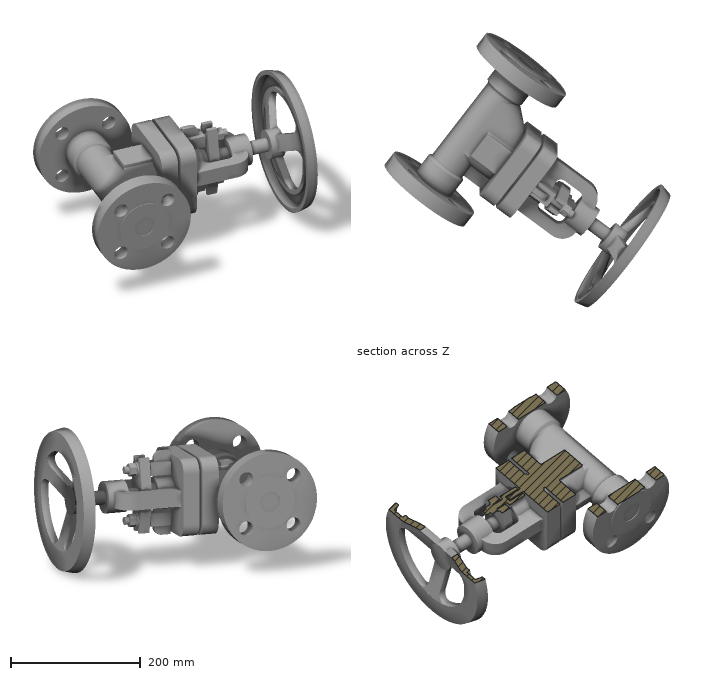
import math

import cadquery as cq


FACE_TO_FACE = 260.0
RAISED_FACE_HEIGHT = 1.0
RAISED_FACE_DIAMETER = 82.0
BORE_DIAMETER = 33.0
BORE_RECESS_DEPTH = 1.0
FLANGE_DIAMETER = 155.0
FLANGE_THICKNESS = 23.5
BOLT_CIRCLE_DIAMETER = 110.0
BOLT_HOLE_DIAMETER = 22.5
BOLT_HOLE_COUNT = 4
HUB_RADIUS = 33.0
HUB_INNER_END = 75.0
PIPE_RADIUS = 29.0
PIPE_CONE_LENGTH = HUB_RADIUS - PIPE_RADIUS

STEM_X = -10.0
NECK_RADIUS = 39.0
NECK_SHELF_Y = 14.6
WEB_HALF_THICKNESS = PIPE_RADIUS
BRANCH_START_X = 62.0
BRANCH_LEAN_DEGREES = 42.0
RIB_REACH = 57.6
RIB_THICKNESS = 12.0
PAD_HALF_WIDTH = 21.8
PAD_TOP_Z = 38.7
PAD_CHAMFER = 1.2

JOINT_WIDTH = 122.5
JOINT_CORNER_RADIUS = 20.5
BODY_PLATE_Y = 62.3
BODY_PLATE_THICKNESS = 26.7
JOINT_GAP = 5.0
SPIGOT_RADIUS = 43.0
GASKET_RADIUS = 41.5
BONNET_PLATE_THICKNESS = 26.2
BODY_PLATE_TOP_Y = BODY_PLATE_Y + BODY_PLATE_THICKNESS
BONNET_PLATE_Y = BODY_PLATE_TOP_Y + JOINT_GAP
BONNET_TOP_Y = BONNET_PLATE_Y + BONNET_PLATE_THICKNESS

YOKE_HALF_WIDTH = 49.6
YOKE_THICKNESS = 25.2
YOKE_TOP_Y = 219.5
YOKE_SHOULDER_RADIUS = 27.0
YOKE_FOOT_RADIUS = 4.0
WINDOW_HALF_WIDTH = 30.9
WINDOW_BOTTOM_Y = 146.8
WINDOW_TOP_Y = 195.4
WINDOW_CORNER_RADIUS = 10.0
YOKE_BOSS_RADIUS = 25.0
YOKE_BOSS_TOP_Y = 229.0

FIN_THICKNESS = 8.0
FIN_HALF_LENGTH = 66.0
FIN_CORNER_RADIUS = 12.0
GLAND_RADIUS = 16.6
GLAND_BAR_Y = 158.0
GLAND_BAR_THICKNESS = 16.2
GLAND_BAR_HALF_LENGTH = 59.2
GLAND_BAR_HALF_WIDTH = 23.0
GLAND_BAR_END_HALF_WIDTH = 12.5
GLAND_BAR_FLAT_HALF_LENGTH = 12.0
BOLT_Z = 40.0
BOLT_SLOT_WIDTH = 13.0
STUD_DIAMETER = 12.0
STUD_END_Y = 195.0
LUG_BOTTOM_Y = 122.5
LUG_TOP_Y = 154.8
LUG_WIDTH = 24.0
LUG_DEPTH = 20.0
LUG_SLOT_WIDTH = 10.0
LUG_SLOT_TOP_Y = 148.0
WASHER_DIAMETER = 23.5
WASHER_THICKNESS = 2.4
NUT_ACROSS_FLATS = 18.0
NUT_HEIGHT = 11.0
GLAND_BAR_TOP_Y = GLAND_BAR_Y + GLAND_BAR_THICKNESS

STEM_RADIUS = 11.0
WHEEL_HUB_RADIUS = 23.0
WHEEL_HUB_Y = 262.0
WHEEL_TOP_Y = 302.0
RIM_HEIGHT = 18.0
RIM_OUTER_RADIUS = 112.5
RIM_TOP_RADIUS = 108.3
RIM_LIP_RADIUS = 105.4
RIM_FLOOR_RADIUS = 102.8
RIM_RING_RADIUS = 85.0
RIM_INNER_RADIUS = 77.5
RIM_FLOOR_Y = 295.8
RIM_RING_Y = 289.8
SPOKE_COUNT = 3
SPOKE_WIDTH = 26.5
SPOKE_THICKNESS = 12.0
SPOKE_HUB_Y = 272.0
SPOKE_FILLET = 12.0
WHEEL_HUB_TOP_Y = SPOKE_HUB_Y + SPOKE_THICKNESS


def stem_plane(y, z=0.0):
    """Plane square to the stem axis at height y; local axes are X and -Z."""
    return cq.Workplane("XZ", origin=(STEM_X, y, z)).transformed(rotate=(180, 0, 0))


def stem_cylinder(radius, y_start, y_end, z=0.0):
    """Cylinder parallel to the stem axis, offset from it by z."""
    return stem_plane(y_start, z).circle(radius).extrude(y_end - y_start)


def side_slab(outline, thickness):
    """Thicken an XY outline equally on both sides of z = 0."""
    return outline.extrude(thickness / 2, both=True)


def block(x_half, y_start, y_end, z_start, z_end):
    """Box centred on the stem in X."""
    size = (2 * x_half, y_end - y_start, z_end - z_start)
    return cq.Workplane("XY").box(*size, centered=(True, False, False)).translate((STEM_X, y_start, z_start))


def make_pipe():
    """Pipe, hubs, flanges and raised faces as one turned shape, with recessed bores and bolt holes."""
    face_x = FACE_TO_FACE / 2
    flange_x = face_x - RAISED_FACE_HEIGHT
    flange_back_x = flange_x - FLANGE_THICKNESS
    pipe_end_x = HUB_INNER_END - PIPE_CONE_LENGTH
    right_half = [
        (pipe_end_x, PIPE_RADIUS),
        (HUB_INNER_END, HUB_RADIUS),
        (flange_back_x, HUB_RADIUS),
        (flange_back_x, FLANGE_DIAMETER / 2),
        (flange_x, FLANGE_DIAMETER / 2),
        (flange_x, RAISED_FACE_DIAMETER / 2),
        (face_x, RAISED_FACE_DIAMETER / 2),
        (face_x, 0),
    ]
    left_half = [(-x, r) for x, r in reversed(right_half)]
    pipe = cq.Workplane("XY").polyline(left_half + right_half).close().revolve(360, (0, 0, 0), (1, 0, 0))
    holes = (
        cq.Workplane("YZ", origin=(-face_x, 0, 0))
        .polarArray(BOLT_CIRCLE_DIAMETER / 2, 180 / BOLT_HOLE_COUNT, 360, BOLT_HOLE_COUNT)
        .circle(BOLT_HOLE_DIAMETER / 2)
        .extrude(FACE_TO_FACE)
    )
    pipe = pipe.cut(holes)
    for recess_x in (-face_x, face_x - BORE_RECESS_DEPTH):
        recess = cq.Workplane("YZ", origin=(recess_x, 0, 0)).circle(BORE_DIAMETER / 2)
        pipe = pipe.cut(recess.extrude(BORE_RECESS_DEPTH))
    return pipe


def make_neck():
    """Upright neck under the joint, trimmed to the web thickness below its shelf, with side pads."""
    neck = stem_cylinder(NECK_RADIUS, 0, BODY_PLATE_Y)
    for z_start in (-NECK_RADIUS, WEB_HALF_THICKNESS):
        z_end = z_start + NECK_RADIUS - WEB_HALF_THICKNESS
        neck = neck.cut(block(NECK_RADIUS, 0, NECK_SHELF_Y, z_start, z_end))
    pads = block(PAD_HALF_WIDTH, NECK_SHELF_Y, BODY_PLATE_Y, -PAD_TOP_Z, PAD_TOP_Z)
    pads = pads.edges("|Y").chamfer(PAD_CHAMFER)
    crown_limit = block(NECK_RADIUS, 0, BODY_PLATE_Y, -PAD_TOP_Z, PAD_TOP_Z)
    return neck.intersect(crown_limit).union(pads)


def make_branch():
    """Leaning branch from the pipe up to the joint, the flat-sided web beside it and the rear rib."""
    lean = math.radians(BRANCH_LEAN_DEGREES)
    branch_top_x = BRANCH_START_X - BODY_PLATE_Y * math.tan(lean)
    web_points = [
        (STEM_X, 0),
        (BRANCH_START_X, 0),
        (branch_top_x, BODY_PLATE_Y),
        (STEM_X, BODY_PLATE_Y),
    ]
    web = side_slab(cq.Workplane("XY").polyline(web_points).close(), 2 * WEB_HALF_THICKNESS)
    axis = cq.Plane(
        origin=(BRANCH_START_X, 0, 0),
        xDir=(0, 0, 1),
        normal=(-math.sin(lean), math.cos(lean), 0),
    )
    branch = cq.Workplane(axis).circle(WEB_HALF_THICKNESS).extrude(2 * BODY_PLATE_Y)
    below_joint = block(FACE_TO_FACE / 2, -BODY_PLATE_Y, BODY_PLATE_Y, -PIPE_RADIUS, PIPE_RADIUS)
    rib = cq.Workplane("XY").box(RIB_REACH, BODY_PLATE_Y, RIB_THICKNESS, centered=(False, False, True))
    rib = rib.translate((STEM_X - RIB_REACH, 0, 0))
    return web.union(branch.intersect(below_joint)).union(rib)


def joint_plate(y_start, thickness):
    """Square plate with rounded corners."""
    plate = stem_plane(y_start).rect(JOINT_WIDTH, JOINT_WIDTH).extrude(thickness)
    return plate.edges("|Y").fillet(JOINT_CORNER_RADIUS)


def make_joint():
    """Body and bonnet plates with the gasket and spigot between them."""
    gap_middle_y = BODY_PLATE_TOP_Y + JOINT_GAP / 2
    joint = joint_plate(BODY_PLATE_Y, BODY_PLATE_THICKNESS)
    joint = joint.union(joint_plate(BONNET_PLATE_Y, BONNET_PLATE_THICKNESS))
    joint = joint.union(stem_cylinder(GASKET_RADIUS, BODY_PLATE_TOP_Y, gap_middle_y))
    return joint.union(stem_cylinder(SPIGOT_RADIUS, gap_middle_y, BONNET_PLATE_Y))


def make_yoke():
    """Flat arched yoke with filleted feet, a window and the stem boss on top."""
    shoulder_x = YOKE_HALF_WIDTH - YOKE_SHOULDER_RADIUS
    shoulder_y = YOKE_TOP_Y - YOKE_SHOULDER_RADIUS
    shoulder_mid = YOKE_SHOULDER_RADIUS * math.sqrt(0.5)
    foot_x = YOKE_HALF_WIDTH + YOKE_FOOT_RADIUS
    foot_y = BONNET_TOP_Y + YOKE_FOOT_RADIUS
    foot_mid = YOKE_FOOT_RADIUS * math.sqrt(0.5)
    half = (
        cq.Workplane("XY", origin=(STEM_X, 0, 0))
        .moveTo(0, BONNET_TOP_Y)
        .lineTo(foot_x, BONNET_TOP_Y)
        .threePointArc((foot_x - foot_mid, foot_y - foot_mid), (YOKE_HALF_WIDTH, foot_y))
        .lineTo(YOKE_HALF_WIDTH, shoulder_y)
        .threePointArc((shoulder_x + shoulder_mid, shoulder_y + shoulder_mid), (shoulder_x, YOKE_TOP_Y))
        .lineTo(0, YOKE_TOP_Y)
        .close()
    )
    half = side_slab(half, YOKE_THICKNESS)
    yoke = half.union(half.mirror("YZ", (STEM_X, 0, 0)))
    half_depth = YOKE_THICKNESS / 2
    window = block(WINDOW_HALF_WIDTH, WINDOW_BOTTOM_Y, WINDOW_TOP_Y, -half_depth, half_depth)
    yoke = yoke.cut(window.edges("|Z").fillet(WINDOW_CORNER_RADIUS))
    yoke = yoke.union(stem_cylinder(YOKE_BOSS_RADIUS, WINDOW_TOP_Y, YOKE_BOSS_TOP_Y))
    return yoke.union(stem_cylinder(YOKE_BOSS_RADIUS, BONNET_TOP_Y, WINDOW_BOTTOM_Y))


def make_fin():
    """Thin rounded plate across the bonnet that the swing bolts straddle."""
    fin = block(FIN_THICKNESS / 2, BONNET_TOP_Y, WINDOW_BOTTOM_Y, -FIN_HALF_LENGTH, FIN_HALF_LENGTH)
    return fin.edges("|X and >Y").fillet(FIN_CORNER_RADIUS)


def make_gland():
    """Gland sleeve and its tapered bar, slotted at both ends for the swing bolts."""
    right_side = [
        (GLAND_BAR_END_HALF_WIDTH, -GLAND_BAR_HALF_LENGTH),
        (GLAND_BAR_HALF_WIDTH, -GLAND_BAR_FLAT_HALF_LENGTH),
        (GLAND_BAR_HALF_WIDTH, GLAND_BAR_FLAT_HALF_LENGTH),
        (GLAND_BAR_END_HALF_WIDTH, GLAND_BAR_HALF_LENGTH),
    ]
    left_side = [(-x, z) for x, z in reversed(right_side)]
    bar = stem_plane(GLAND_BAR_Y).polyline(right_side + left_side).close().extrude(GLAND_BAR_THICKNESS)
    slot_radius = BOLT_SLOT_WIDTH / 2
    slot = block(slot_radius, GLAND_BAR_Y, GLAND_BAR_TOP_Y, BOLT_Z, GLAND_BAR_HALF_LENGTH)
    slot = slot.union(stem_cylinder(slot_radius, GLAND_BAR_Y, GLAND_BAR_TOP_Y, BOLT_Z))
    bar = bar.cut(slot).cut(slot.mirror("XY"))
    return bar.union(stem_cylinder(GLAND_RADIUS, WINDOW_BOTTOM_Y, GLAND_BAR_Y))


def make_swing_bolt():
    """Forked lug, stud, washer and nut on the +Z side."""
    lug_start_z = BOLT_Z - LUG_DEPTH / 2
    lug_end_z = BOLT_Z + LUG_DEPTH / 2
    washer_top_y = GLAND_BAR_TOP_Y + WASHER_THICKNESS
    lug = block(LUG_WIDTH / 2, LUG_BOTTOM_Y, LUG_TOP_Y, lug_start_z, lug_end_z)
    lug = lug.cut(block(LUG_SLOT_WIDTH / 2, LUG_BOTTOM_Y, LUG_SLOT_TOP_Y, lug_start_z, lug_end_z))
    stud = stem_cylinder(STUD_DIAMETER / 2, LUG_SLOT_TOP_Y, STUD_END_Y, BOLT_Z)
    washer = stem_cylinder(WASHER_DIAMETER / 2, GLAND_BAR_TOP_Y, washer_top_y, BOLT_Z)
    nut_across_corners = NUT_ACROSS_FLATS / math.cos(math.pi / 6)
    nut = (
        stem_plane(washer_top_y, BOLT_Z)
        .transformed(rotate=(0, 0, 90))
        .polygon(6, nut_across_corners)
        .extrude(NUT_HEIGHT)
    )
    return lug.union(stud).union(washer).union(nut)


def turned_about_stem(points):
    """Revolve a closed outline of (radius, y) points about the stem axis."""
    profile = cq.Workplane("XY", origin=(STEM_X, 0, 0)).polyline(points).close()
    return profile.revolve(360, (0, 0, 0), (0, 1, 0))


def make_spokes():
    """Dished disc cut back to three spokes with rounded roots at the rim."""
    dish = turned_about_stem([
        (0, SPOKE_HUB_Y),
        (WHEEL_HUB_RADIUS, SPOKE_HUB_Y),
        (RIM_INNER_RADIUS, RIM_RING_Y),
        (RIM_INNER_RADIUS, RIM_RING_Y + SPOKE_THICKNESS),
        (WHEEL_HUB_RADIUS, WHEEL_HUB_TOP_Y),
        (0, WHEEL_HUB_TOP_Y),
    ])
    windows = stem_cylinder(RIM_INNER_RADIUS, WHEEL_HUB_Y, WHEEL_TOP_Y)
    for index in range(SPOKE_COUNT):
        spoke = block(SPOKE_WIDTH / 2, WHEEL_HUB_Y, WHEEL_TOP_Y, -RIM_OUTER_RADIUS, 0)
        angle = index * 360 / SPOKE_COUNT
        windows = windows.cut(spoke.rotate((STEM_X, 0, 0), (STEM_X, 1, 0), angle))
    near_hub = cq.selectors.BoxSelector(
        (STEM_X - WHEEL_HUB_RADIUS, WHEEL_HUB_Y, -WHEEL_HUB_RADIUS),
        (STEM_X + WHEEL_HUB_RADIUS, WHEEL_TOP_Y, WHEEL_HUB_RADIUS),
    )
    root_edges = cq.selectors.SubtractSelector(cq.selectors.ParallelDirSelector(cq.Vector(0, 1, 0)), near_hub)
    windows = windows.edges(root_edges).fillet(SPOKE_FILLET)
    return dish.cut(windows)


def make_handwheel():
    """Stem, wheel hub, spokes and the grooved rim."""
    rim_bottom_y = WHEEL_TOP_Y - RIM_HEIGHT
    rim = turned_about_stem([
        (RIM_TOP_RADIUS, WHEEL_TOP_Y),
        (RIM_OUTER_RADIUS, rim_bottom_y),
        (RIM_LIP_RADIUS, rim_bottom_y),
        (RIM_FLOOR_RADIUS, RIM_FLOOR_Y),
        (RIM_RING_RADIUS, RIM_FLOOR_Y),
        (RIM_RING_RADIUS, RIM_RING_Y),
        (RIM_INNER_RADIUS, RIM_RING_Y),
        (RIM_INNER_RADIUS, WHEEL_TOP_Y),
    ])
    hub = stem_cylinder(WHEEL_HUB_RADIUS, WHEEL_HUB_Y, WHEEL_HUB_TOP_Y)
    stem = stem_cylinder(STEM_RADIUS, BONNET_TOP_Y, WHEEL_HUB_TOP_Y)
    return rim.union(make_spokes()).union(hub).union(stem)


swing_bolt = make_swing_bolt()
valve_parts = [
    make_neck(),
    make_branch(),
    make_joint(),
    make_yoke(),
    make_fin(),
    make_gland(),
    swing_bolt,
    swing_bolt.mirror("XY"),
    make_handwheel(),
]
result = make_pipe()
for valve_part in valve_parts:
    result = result.union(valve_part)